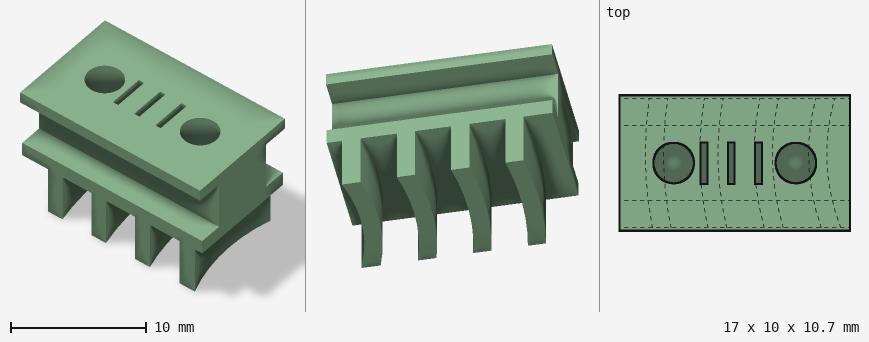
import cadquery as cq

length = 17.0
top_flange_width = 10.0
web_width = 5.5
base_width = 9.5

tooth_height = 4.25
base_thickness = 1.24
web_height = 4.25
top_flange_thickness = 1.0

base_top = tooth_height + base_thickness
web_top = base_top + web_height
total_height = web_top + top_flange_thickness

tooth_count = 4
tooth_pitch = 4.01
tooth_thickness = 1.35
smallest_tooth_radius = 16.15
scroll_center_x = 21.59
scroll_center_y = 0.66

opening_depth = total_height - base_top
hole_diameter = 3.0
hole_spacing = 9.01
slot_count = 3
slot_pitch = 2.0
slot_width = 0.5
slot_length = 3.06
slot_row_center_x = -0.25


def layer(width, bottom, height):
    """Full-length rectangular layer standing on the given height."""
    return (
        cq.Workplane("XY")
        .workplane(offset=bottom)
        .rect(length, width)
        .extrude(height)
    )


def scroll_tooth(outer_radius):
    """Ring about the scroll axis, trimmed to the part's base rectangle."""
    ring = (
        cq.Workplane("XY")
        .center(scroll_center_x, scroll_center_y)
        .circle(outer_radius)
        .circle(outer_radius - tooth_thickness)
        .extrude(tooth_height)
    )
    return ring.intersect(layer(base_width, 0, tooth_height))


body = layer(base_width, tooth_height, base_thickness)
body = body.union(layer(web_width, base_top, web_height))
body = body.union(layer(top_flange_width, web_top, top_flange_thickness))

for index in range(tooth_count):
    body = body.union(scroll_tooth(smallest_tooth_radius + index * tooth_pitch))

top_plane = cq.Workplane("XY").workplane(offset=total_height)
holes = (
    top_plane.rarray(hole_spacing, 0.17, 2, 1)
    .circle(hole_diameter / 2)
    .extrude(-opening_depth)
)
slots = (
    top_plane.center(slot_row_center_x, 0)
    .rarray(slot_pitch, 0.17, slot_count, 1)
    .rect(slot_width, slot_length)
    .extrude(-opening_depth)
)

result = body.cut(holes).cut(slots).translate((0, 0, -total_height / 2))